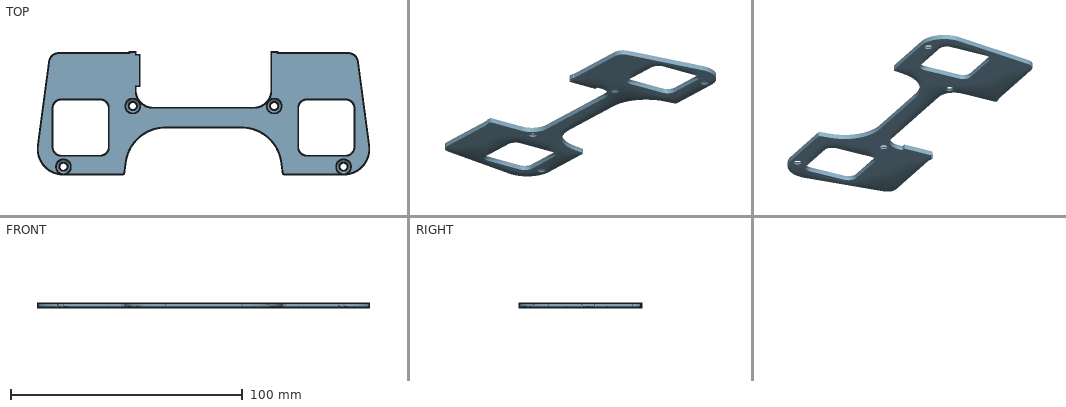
import cadquery as cq
import math

length = 143.1
depth = 53.0
thickness = 2.0
half_length = length / 2

side_tilt = math.radians(7.6)
front_corner_radius = 11.2
back_corner_radius = 4.3
back_edge_y = 52.5
inner_edge_x = 29.2
lip_width = 2.7

web_front_y = 20.3
web_back_y = 28.9
recess_half_width = 34.2
recess_radius = 17.2
recess_corner_radius = 1.1
web_back_radius = 7.5

tab_width = 1.7
tab_front_y = 38.0
tab_back_y = 51.8

window_size = 24.2
window_radius = 3.7
window_x = 53.0
window_y = 20.3

hole_diameter = 3.5
sink_diameter = 6.5
sink_angle = 90
hole_positions = [(30.5, 29.6), (60.4, 3.5)]


def tilted_x(front_x, y):
    """X at height y of a wing side that leans towards the middle, starting from front_x at Y = 0."""
    return front_x - y * math.tan(side_tilt)


def round_corner(body, x, y, radius):
    """Round the vertical edges at (x, y) and at its mirror image (-x, y)."""
    for corner_x in (-x, x):
        corner = cq.selectors.NearestToPointSelector((corner_x, y, thickness / 2))
        body = body.edges(corner).fillet(radius)
    return body


def make_plate():
    arc_center_x = half_length - front_corner_radius
    side_front_x = (
        arc_center_x
        + front_corner_radius / math.cos(side_tilt)
        + front_corner_radius * math.tan(side_tilt)
    )
    front_corner = (side_front_x, 0)
    back_corner = (tilted_x(side_front_x, back_edge_y), back_edge_y)
    recess_front = (recess_half_width, 0)
    recess_back = (tilted_x(recess_half_width, web_front_y), web_front_y)
    web_corner = (inner_edge_x, web_back_y)
    right_half = [
        recess_back,
        recess_front,
        front_corner,
        back_corner,
        (inner_edge_x + lip_width, back_edge_y),
        (inner_edge_x + lip_width, depth),
        (inner_edge_x, depth),
        web_corner,
    ]
    left_half = [(-x, y) for x, y in reversed(right_half)]
    body = cq.Workplane("XY").polyline(right_half + left_half).close().extrude(thickness)

    body = round_corner(body, *front_corner, front_corner_radius)
    body = round_corner(body, *back_corner, back_corner_radius)
    body = round_corner(body, *recess_back, recess_radius)
    body = round_corner(body, *recess_front, recess_corner_radius)
    return round_corner(body, *web_corner, web_back_radius)


def make_tab():
    return (
        cq.Workplane("XY")
        .moveTo(-inner_edge_x - lip_width, tab_front_y)
        .lineTo(-inner_edge_x + tab_width, tab_front_y)
        .lineTo(-inner_edge_x + tab_width, tab_back_y)
        .lineTo(-inner_edge_x - lip_width, tab_back_y)
        .close()
        .extrude(thickness)
    )


def make_windows():
    return (
        cq.Workplane("XY")
        .pushPoints([(-window_x, window_y), (window_x, window_y)])
        .rect(window_size, window_size)
        .extrude(thickness)
        .edges("|Z")
        .fillet(window_radius)
    )


plate = make_plate().union(make_tab()).cut(make_windows())
mirrored_holes = [(side * x, y) for side in (-1, 1) for x, y in hole_positions]
result = (
    plate.faces(">Z")
    .workplane(origin=(0, 0, thickness))
    .pushPoints(mirrored_holes)
    .cskHole(hole_diameter, sink_diameter, sink_angle)
)